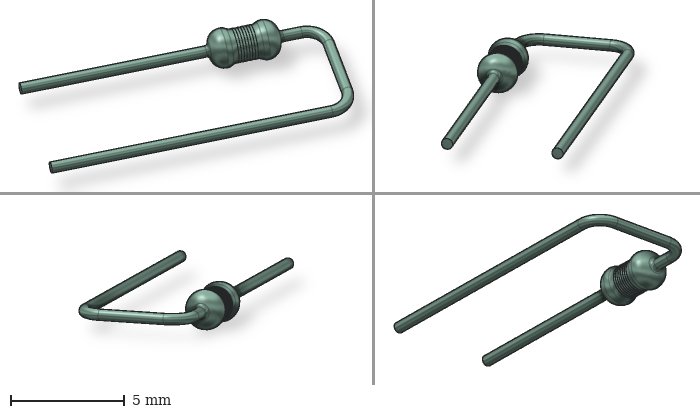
import cadquery as cq
import math


lead_radius = 0.25
lead_pitch = 5.0
overall_length = 14.05
bend_radius = 1.0
crossbar_y = overall_length - lead_radius

body_y = overall_length - 3.85
body_half_length = 1.75
crest_radius = 0.9
crest_offset = 0.95
dome_radius = crest_radius - lead_radius

waist_radius = 1.53 / 2
band_radius = 1.55 / 2
band_count = 4
band_width = 0.13
bands_length = (2 * band_count - 1) * band_width
waist_half_length = bands_length / 2


def arc_point(center, radius, angle):
    """Point (radial, axial) on a circle of the body profile."""
    return (center[0] + radius * math.cos(angle), center[1] + radius * math.sin(angle))


def make_lead():
    """Straight lead through the body, crossbar and return lead in one sweep."""
    corner = bend_radius * (1 - math.sqrt(0.5))
    bend_start_y = crossbar_y - bend_radius
    path = (
        cq.Workplane("XY")
        .lineTo(0, bend_start_y)
        .threePointArc((corner, crossbar_y - corner), (bend_radius, crossbar_y))
        .lineTo(lead_pitch - bend_radius, crossbar_y)
        .threePointArc((lead_pitch - corner, crossbar_y - corner), (lead_pitch, bend_start_y))
        .lineTo(lead_pitch, 0)
    )
    return cq.Workplane("XZ").circle(lead_radius).sweep(path)


def make_half_body():
    """Half body on the +Y side: waist, S-shaped shoulder, dome and fillet to the lead."""
    shoulder_length = crest_offset - waist_half_length
    shoulder_rise = crest_radius - waist_radius
    shoulder_radius = (shoulder_length**2 + shoulder_rise**2) / (4 * shoulder_rise)
    middle_angle = math.asin(shoulder_length / (2 * shoulder_radius)) / 2
    waist_center = (waist_radius + shoulder_radius, waist_half_length)
    crest_center = (crest_radius - shoulder_radius, crest_offset)
    shoulder_middle = ((waist_radius + crest_radius) / 2, (waist_half_length + crest_offset) / 2)

    dome_center = (lead_radius, crest_offset)
    end_distance = body_half_length - crest_offset
    fillet_radius = (end_distance**2 - dome_radius**2) / (2 * dome_radius)
    fillet_center = (lead_radius + fillet_radius, body_half_length)
    dome_angle = math.atan2(end_distance, fillet_radius)

    profile = (
        cq.Workplane("XY")
        .lineTo(waist_radius, 0)
        .lineTo(waist_radius, waist_half_length)
        .threePointArc(
            arc_point(waist_center, shoulder_radius, math.pi - middle_angle),
            shoulder_middle,
        )
        .threePointArc(
            arc_point(crest_center, shoulder_radius, -middle_angle),
            (crest_radius, crest_offset),
        )
        .threePointArc(
            arc_point(dome_center, dome_radius, dome_angle / 2),
            arc_point(dome_center, dome_radius, dome_angle),
        )
        .threePointArc(
            arc_point(fillet_center, fillet_radius, math.pi + dome_angle / 2),
            (lead_radius, body_half_length),
        )
        .lineTo(0, body_half_length)
        .close()
    )
    return profile.revolve(360, (0, 0), (0, 1))


def make_band(start):
    """Raised color band starting at the given distance along the body axis."""
    return (
        cq.Workplane("XZ", origin=(0, start, 0))
        .circle(band_radius)
        .extrude(-band_width)
    )


half_body = make_half_body()
body = half_body.union(half_body.mirror("XZ"))
for index in range(band_count):
    body = body.union(make_band(2 * index * band_width - waist_half_length))

result = make_lead().union(body.translate((0, body_y, 0)))